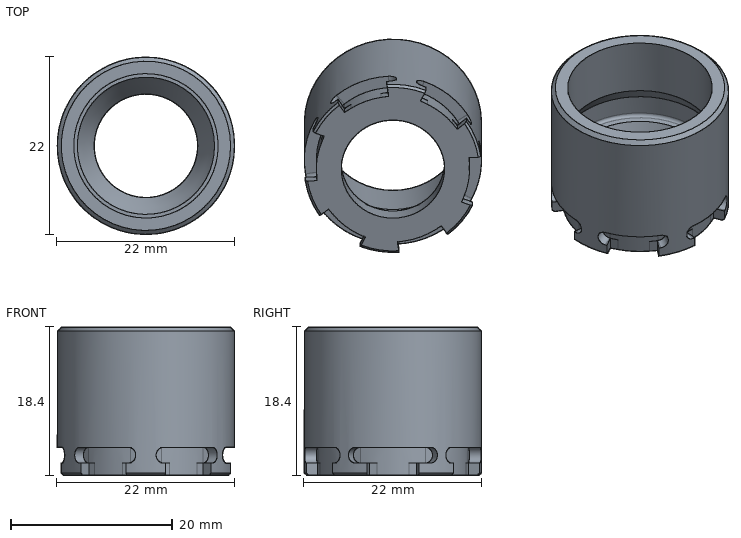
import cadquery as cq
import math

outer_radius = 11.0
height = 18.4
top_chamfer = 0.5
bottom_chamfer = 0.3

bore_radius = 17.9 / 2
bore_depth = 7.5
undercut_radius = 19.3 / 2
undercut_taper_depth = 9.0
floor_depth = 12.0
floor_fillet = 0.42
seat_radius = 17.0 / 2
through_radius = 12.8 / 2
seat_slope_angle = 60.0

notch_count = 6
notch_floor_radius = 9.5
slot_top = 3.5
slot_bottom = 1.55
slot_half_angle = 18.3
wide_slot_half_angle = 25.0
mouth_half_angle = 12.0
cutter_radius = (slot_top - slot_bottom) / 2
slot_middle = slot_bottom + cutter_radius
cut_reach = outer_radius + 2.2


def make_body():
    """Revolved sleeve with chamfered ends and an undercut, conical-seated bore."""
    floor_z = height - floor_depth
    seat_depth = (seat_radius - through_radius) * math.tan(math.radians(seat_slope_angle))
    fillet_start = undercut_radius - floor_fillet
    fillet_centre_z = floor_z + floor_fillet
    fillet_middle = (
        fillet_start + floor_fillet * math.cos(math.radians(45)),
        fillet_centre_z - floor_fillet * math.sin(math.radians(45)),
    )
    profile = (
        cq.Workplane("XZ")
        .moveTo(through_radius, 0)
        .lineTo(outer_radius - bottom_chamfer, 0)
        .lineTo(outer_radius, bottom_chamfer)
        .lineTo(outer_radius, height - top_chamfer)
        .lineTo(outer_radius - top_chamfer, height)
        .lineTo(bore_radius, height)
        .lineTo(bore_radius, height - bore_depth)
        .lineTo(undercut_radius, height - undercut_taper_depth)
        .lineTo(undercut_radius, fillet_centre_z)
        .threePointArc(fillet_middle, (fillet_start, floor_z))
        .lineTo(seat_radius, floor_z)
        .lineTo(through_radius, floor_z - seat_depth)
        .close()
    )
    return profile.revolve(360, (0, 0, 0), (0, 1, 0))


def make_arc_sector(half_angle, bottom, top):
    """Ring sector outside the notch floor, centred on +X."""
    reach_y = cut_reach * math.tan(math.radians(half_angle))
    wedge = (
        cq.Workplane("XY", origin=(0, 0, bottom))
        .polyline([(0, 0), (cut_reach, -reach_y), (cut_reach, reach_y)])
        .close()
        .extrude(top - bottom)
    )
    core = cq.Workplane("XY", origin=(0, 0, bottom)).circle(notch_floor_radius).extrude(top - bottom)
    return wedge.cut(core)


def make_notch(half_angle):
    """One notch on +X; each end is flat where a radial cutter stopped."""
    cut_length = cut_reach - notch_floor_radius
    cutter_plane = cq.Workplane("YZ", origin=(notch_floor_radius, 0, 0))
    slot_end = cutter_plane.center(0, slot_middle).circle(cutter_radius).extrude(cut_length)
    mouth_end = (
        cutter_plane.center(0, slot_bottom / 2)
        .rect(2 * cutter_radius, slot_bottom)
        .extrude(cut_length)
    )
    notch = make_arc_sector(half_angle, slot_bottom, slot_top)
    notch = notch.union(make_arc_sector(mouth_half_angle, 0, slot_bottom))
    for side in (-1, 1):
        notch = notch.union(slot_end.rotate((0, 0, 0), (0, 0, 1), side * half_angle))
        notch = notch.union(mouth_end.rotate((0, 0, 0), (0, 0, 1), side * mouth_half_angle))
    return notch


result = make_body()
for index in range(notch_count):
    half_angle = wide_slot_half_angle if index == 0 else slot_half_angle
    notch = make_notch(half_angle)
    result = result.cut(notch.rotate((0, 0, 0), (0, 0, 1), index * 360 / notch_count))